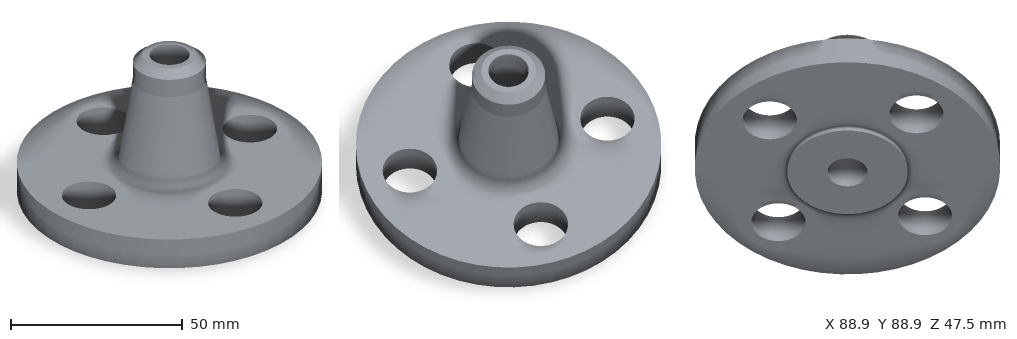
import cadquery as cq

flange_diameter = 88.9
flange_thickness = 9.7
face_diameter = 35.0
face_height = 1.6

bolt_count = 4
bolt_circle_diameter = 60.4
bolt_hole_diameter = 15.8

total_height = 47.55
hub_base_diameter = 30.2
pipe_diameter = 21.3
pipe_end_length = 8.1
tip_diameter = 15.8
bevel_height = 2.2
bore_diameter = 11.7
hub_fillet_radius = 2.9

flange_top = face_height + flange_thickness
pipe_end_bottom = total_height - pipe_end_length
bevel_bottom = total_height - bevel_height


def flange_plate():
    """Round plate standing on the smaller raised face."""
    raised_face = cq.Workplane("XY").circle(face_diameter / 2).extrude(face_height)
    plate = (
        cq.Workplane("XY")
        .workplane(offset=face_height)
        .circle(flange_diameter / 2)
        .extrude(flange_thickness)
    )
    return raised_face.union(plate)


def welding_neck():
    """Neck profile (radius, height) revolved about the Z axis."""
    return (
        cq.Workplane("XZ")
        .moveTo(0, flange_top)
        .lineTo(hub_base_diameter / 2, flange_top)
        .lineTo(pipe_diameter / 2, pipe_end_bottom)
        .lineTo(pipe_diameter / 2, bevel_bottom)
        .lineTo(tip_diameter / 2, total_height)
        .lineTo(0, total_height)
        .close()
        .revolve(360, (0, 0, 0), (0, 1, 0))
    )


def fillet_hub_base(body):
    """Round the inside corner between the tapered hub and the plate."""
    margin = 0.1
    reach = hub_base_diameter / 2 + margin
    corner = cq.selectors.BoxSelector(
        (-reach, -reach, flange_top - margin),
        (reach, reach, flange_top + margin),
        boundingbox=True,
    )
    return body.edges(corner).fillet(hub_fillet_radius)


def drill_holes(body):
    """Through bore on the axis and bolt holes on the X and Y axes."""
    bore = cq.Workplane("XY").circle(bore_diameter / 2).extrude(total_height)
    bolt_holes = (
        cq.Workplane("XY")
        .polarArray(bolt_circle_diameter / 2, 0, 360, bolt_count)
        .circle(bolt_hole_diameter / 2)
        .extrude(flange_top)
    )
    return body.cut(bore).cut(bolt_holes)


body = flange_plate().union(welding_neck())
body = fillet_hub_base(body)
result = drill_holes(body)